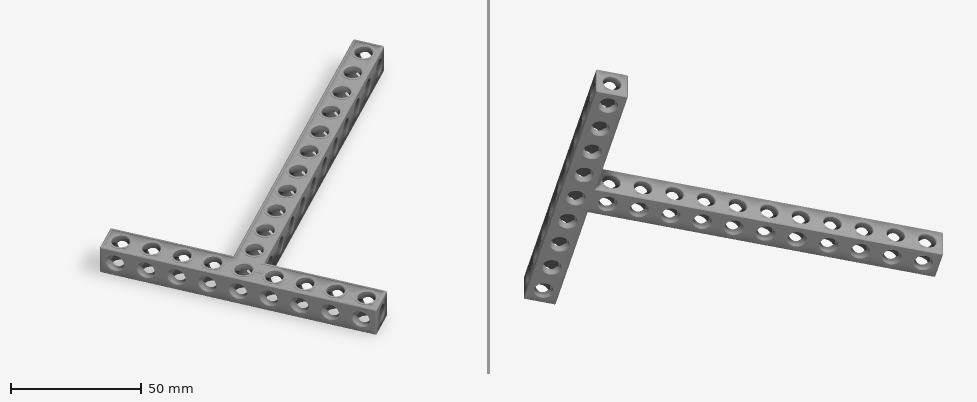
import cadquery as cq

PITCH = 12.5
CROSS_HOLES = 9
STEM_HOLES = 12
HOLE_DIAMETER = 7.0
HOLE_CHAMFER = 0.3
EDGE_CHAMFER = 0.3
RIM_WIDTH = 1.1
RECESS_DEPTH = 0.2
COLLAR_DIAMETER = 9.2
RIB_WIDTH = 0.2

CROSS_LENGTH = CROSS_HOLES * PITCH
STEM_LENGTH = STEM_HOLES * PITCH
HALF = PITCH / 2

cross_xs = [(i - (CROSS_HOLES - 1) / 2) * PITCH for i in range(CROSS_HOLES)]
stem_ys = [i * PITCH for i in range(STEM_HOLES)]
vertical_holes = [(x, 0) for x in cross_xs] + [(0, y) for y in stem_ys[1:]]


def t_prism(inset, bottom, height):
    """T-shaped block whose outline lies the given inset inside the part."""
    width = PITCH - 2 * inset
    cross = cq.Workplane("XY").rect(CROSS_LENGTH - 2 * inset, width).extrude(height)
    stem = (
        cq.Workplane("XY")
        .center(0, STEM_LENGTH / 2 - HALF)
        .rect(width, STEM_LENGTH - 2 * inset)
        .extrude(height)
    )
    return cross.union(stem).clean().translate((0, 0, bottom))


def bevelled_block():
    """T block bevelled on every edge except the two upright inner corners."""
    block = t_prism(0, -HALF, PITCH)
    return block.edges("(not |Z) or <X or >X or >Y").chamfer(EDGE_CHAMFER)


def top_recess():
    """Recess volume with the collars and the rib left out of it."""
    floor = HALF - RECESS_DEPTH
    recess = t_prism(RIM_WIDTH, floor, RECESS_DEPTH)
    collars = (
        cq.Workplane("XY", origin=(0, 0, floor))
        .pushPoints(vertical_holes)
        .circle(COLLAR_DIAMETER / 2)
        .extrude(RECESS_DEPTH)
    )
    rib = (
        cq.Workplane("XY", origin=(PITCH / 2, 0, floor))
        .rect(PITCH, RIB_WIDTH)
        .extrude(RECESS_DEPTH)
    )
    return recess.cut(collars).cut(rib)


def hole_cutter(length):
    """Cylinder along +Z from the origin, flared at both ends."""
    bore = HOLE_DIAMETER / 2
    mouth = bore + HOLE_CHAMFER
    profile = [
        (0, 0),
        (mouth, 0),
        (bore, HOLE_CHAMFER),
        (bore, length - HOLE_CHAMFER),
        (mouth, length),
        (0, length),
    ]
    return cq.Workplane("XZ").polyline(profile).close().revolve(360, (0, 0), (0, 1))


body = bevelled_block().cut(top_recess())

for x, y in vertical_holes:
    body = body.cut(hole_cutter(PITCH).translate((x, y, -HALF)))

for x in cross_xs:
    length = STEM_LENGTH if x == 0 else PITCH
    along_y = hole_cutter(length).rotate((0, 0, 0), (1, 0, 0), -90)
    body = body.cut(along_y.translate((x, -HALF, 0)))

for y in stem_ys:
    length = CROSS_LENGTH if y == 0 else PITCH
    along_x = hole_cutter(length).rotate((0, 0, 0), (0, 1, 0), 90)
    body = body.cut(along_x.translate((-length / 2, y, 0)))

result = body